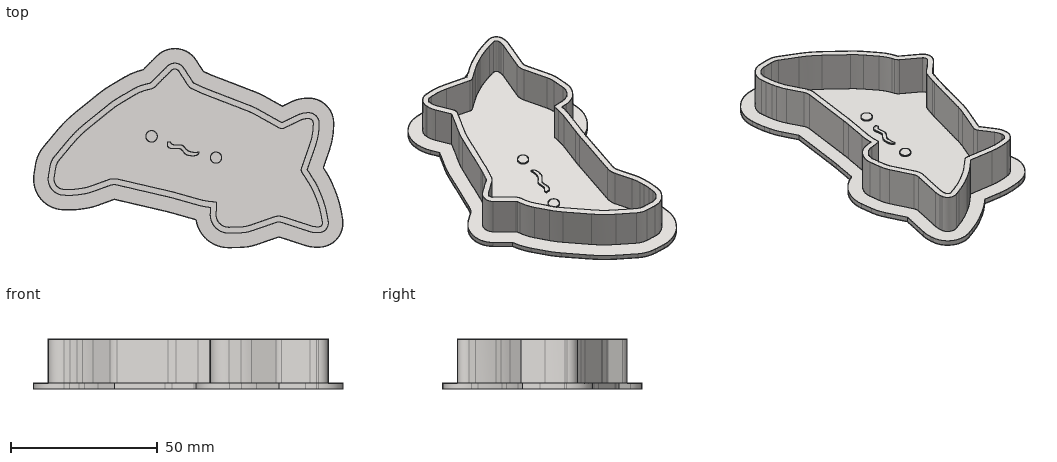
import cadquery as cq
import math


base_thickness = 2.0
total_height = 17.0
face_height = 0.5

wall_thickness = 2.0
brim_width = 5.0

left_eye_center = (-12.5, 4.0)
left_eye_diameter = 3.91
right_eye_center = (9.45, -3.25)
right_eye_diameter = 3.81
mouth_upper_edge = [
    (-6.1, 2.1), (-5.2, 1.2), (-3.6, 1.05), (-2.0, 0.9),
    (-0.5, -0.6), (1.2, -1.35), (3.7, -1.3),
]
mouth_lower_edge = [
    (3.5, -2.0), (2.2, -2.6), (0.8, -2.6), (-1.0, -2.0),
    (-2.6, -0.3), (-4.3, -0.1), (-6.0, -0.1), (-7.1, 0.7),
]
mouth_left_corner = (-7.1, 2.1)

silhouette_corners = [
    (-46.3, -14.0, 3.5),
    (-44.9, -5.2, 5.1),
    (-36.9, 4.4, 40.0),
    (-24.5, 14.4, 30.0),
    (-16.0, 19.4, 15.0),
    (-11.9, 20.3, 3.0),
    (-4.3, 27.85, 1.6),
    (0.4, 20.6, 3.0),
    (5.0, 18.5, 20.0),
    (21.6, 12.1, 20.0),
    (31.8, 6.4, 2.0),
    (39.2, 10.0, 6.0),
    (42.6, 10.1, 1.6),
    (42.5, 4.5, 20.0),
    (38.3, -7.6, 1.5),
    (42.0, -13.4, 20.0),
    (44.7, -19.7, 30.0),
    (45.95, -26.8, 1.3),
    (42.8, -26.8, 5.0),
    (30.8, -22.9, 5.0),
    (19.5, -26.8, 10.0),
    (9.1, -27.1, 4.3),
    (9.5, -22.1, 5.0),
    (9.7, -18.4, 0.4),
    (5.6, -18.0, 20.0),
    (-5.0, -15.0, 60.0),
    (-25.6, -10.2, 6.0),
    (-34.7, -13.5, 15.0),
    (-39.2, -14.1, 15.0),
]


def corner_arc(before, corner, after):
    """Start, middle and end of the arc that rounds one corner of the silhouette."""
    x, y, radius = corner
    to_before = cq.Vector(before[0] - x, before[1] - y).normalized()
    to_after = cq.Vector(after[0] - x, after[1] - y).normalized()
    bisector = (to_before + to_after).normalized()
    half_angle = to_before.getAngle(to_after) / 2
    tangent_length = radius / math.tan(half_angle)
    middle_distance = radius / math.sin(half_angle) - radius
    tip = cq.Vector(x, y)
    return tip + to_before * tangent_length, tip + bisector * middle_distance, tip + to_after * tangent_length


def silhouette():
    """Closed cavity outline: straight flanks joined by tangent arcs."""
    count = len(silhouette_corners)
    arcs = []
    for i, corner in enumerate(silhouette_corners):
        arcs.append(corner_arc(silhouette_corners[i - 1], corner, silhouette_corners[(i + 1) % count]))
    outline = cq.Workplane("XY").moveTo(*arcs[-1][2].toTuple()[:2])
    for start, middle, end in arcs:
        outline = outline.lineTo(start.x, start.y).threePointArc(middle.toTuple()[:2], end.toTuple()[:2])
    return outline.close()


def grown_silhouette(distance, height):
    """Solid standing on Z = 0 whose outline lies outside the cavity by the given distance."""
    return silhouette().offset2D(distance, "arc").extrude(height)


def cavity():
    """Open-topped pocket that leaves the base plate as its floor."""
    return silhouette().extrude(total_height - base_thickness).translate((0, 0, base_thickness))


def eye(center, diameter):
    return cq.Workplane("XY").center(*center).circle(diameter / 2).extrude(base_thickness + face_height)


def mouth():
    """Wavy bar with a squared left corner."""
    return (
        cq.Workplane("XY")
        .moveTo(*mouth_upper_edge[0])
        .spline(mouth_upper_edge[1:], includeCurrent=True)
        .lineTo(*mouth_lower_edge[0])
        .spline(mouth_lower_edge[1:], includeCurrent=True)
        .lineTo(*mouth_left_corner)
        .close()
        .extrude(base_thickness + face_height)
    )


brim = grown_silhouette(wall_thickness + brim_width, base_thickness)
wall = grown_silhouette(wall_thickness, total_height)
body = brim.union(wall).cut(cavity())
result = (
    body.union(eye(left_eye_center, left_eye_diameter))
    .union(eye(right_eye_center, right_eye_diameter))
    .union(mouth())
)